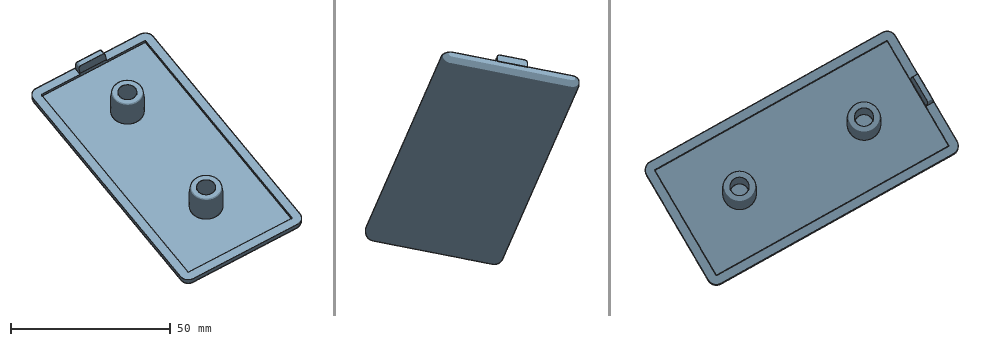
import cadquery as cq

length = 90.0
width = 45.0
plate_height = 4.0
edge_radius = 3.0
rim_width = 3.0
pocket_depth = 1.0
floor_z = plate_height - pocket_depth

post_spacing = length / 2
post_radius = 5.3
post_tip_radius = 4.95
post_top_z = 12.5
taper_start_z = 9.5
tip_round = 0.5
bore_radius = 3.0

tab_width = 9.9
tab_height = 3.0
tab_inset = 0.3
tab_top_thickness = 1.8
tab_slope_start = 0.5
tab_corner_radius = 1.0


def make_plate():
    plate = (
        cq.Workplane("XY")
        .box(length, width, plate_height, centered=(True, True, False))
        .edges("|Z")
        .fillet(edge_radius)
        .faces("<Z")
        .edges()
        .fillet(edge_radius)
    )
    pocket = (
        cq.Workplane("XY", origin=(0, 0, floor_z))
        .rect(length - 2 * rim_width, width - 2 * rim_width)
        .extrude(pocket_depth)
    )
    return plate.cut(pocket)


def make_post(x):
    """Revolve the post's wall; its bore ends at the tray floor."""
    return (
        cq.Workplane("XZ")
        .moveTo(bore_radius, floor_z)
        .lineTo(post_radius, floor_z)
        .lineTo(post_radius, taper_start_z)
        .lineTo(post_tip_radius, post_top_z)
        .lineTo(bore_radius, post_top_z)
        .close()
        .revolve(360, (0, 0, 0), (0, 1, 0))
        .faces(">Z")
        .edges(cq.selectors.RadiusNthSelector(-1))
        .fillet(tip_round)
        .translate((x, 0, 0))
    )


def make_tab():
    """Extrude the tab's side profile; the inner face leans outward above the rim."""
    outer_x = -length / 2 + tab_inset
    inner_x = -length / 2 + rim_width
    top_z = plate_height + tab_height
    return (
        cq.Workplane("XZ")
        .moveTo(outer_x, floor_z)
        .lineTo(inner_x, floor_z)
        .lineTo(inner_x, plate_height + tab_slope_start)
        .lineTo(outer_x + tab_top_thickness, top_z)
        .lineTo(outer_x, top_z)
        .close()
        .extrude(tab_width / 2, both=True)
        .faces(">Z")
        .edges("|X")
        .fillet(tab_corner_radius)
    )


result = make_plate().union(make_tab())
for post_x in (-post_spacing / 2, post_spacing / 2):
    result = result.union(make_post(post_x))